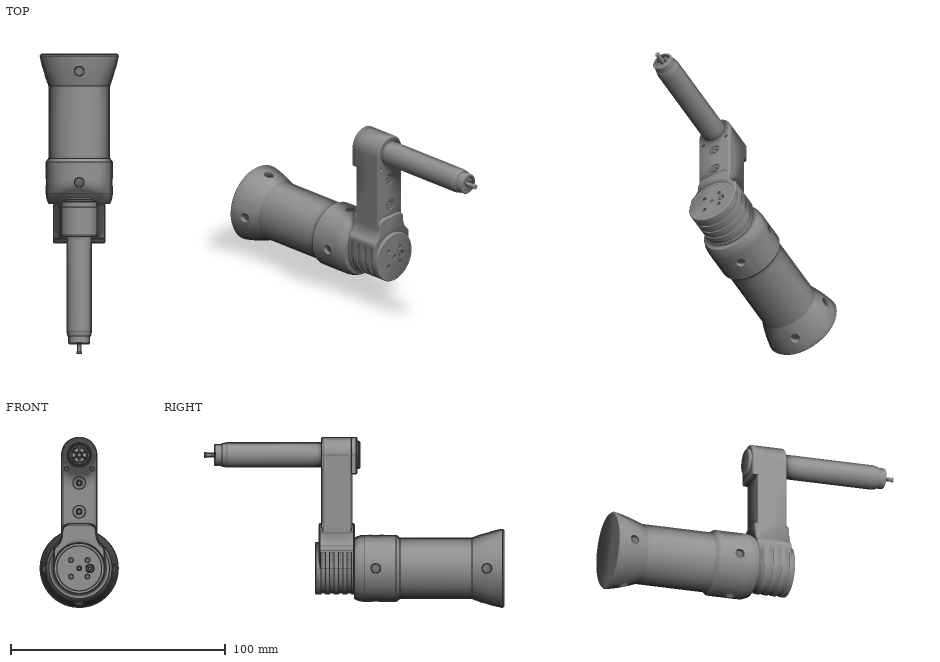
import cadquery as cq


overall_height = 79.2

flare_lip_station = 0.8
flare_end_station = 14.9
collar_station = 48.5
collar_chamfer = 1.7
collar_nose_station = 64.8
handle_end = 69.5
flare_radius = 36.4 / 2
flare_rear_radius = 17.5
flare_bulge = 0.35
grip_radius = 14.1
collar_radius = 30.8 / 2
collar_nose_radius = 14.1

radial_hole_radius = 2.2
radial_hole_depth = 2.2
flare_hole_station = 8.0
collar_hole_station = 59.7

housing_end = 86.1
housing_half_width = 12.0
housing_shoulder_z = 8.4
housing_top_z = 20.8
housing_corner_radius = 3.6
housing_edge_chamfer = 0.5
neck_bottom_z = 16.5
neck_flare_z = 10.3

groove_count = 4
groove_width = 2.1
groove_pitch = 4.0
groove_depth = 0.49
groove_flat_z = 3.9
groove_top_z = 7.4
first_groove_station = 71.0

cover_end = 87.8
cover_overlap = 1.4
cover_rim_chamfer = 0.35
cover_rim_width = 1.5
cover_recess_depth = 0.1
cover_hole_offset = 7.7 / 2
cover_hole_radius = 1.1
cover_hole_depth = 1.4
socket_x = 5.0
socket_radius = 2.0
socket_recess_depth = 0.4
socket_bore_radius = 1.5
cover_pin_radius = 0.7

arm_start = 70.7
arm_end = 84.9
arm_half_width = 8.2
arm_edge_fillet = 0.8
pen_z = overall_height - flare_radius - arm_half_width
cap_start = 68.3
cap_end = 71.1
cap_bottom_z = 43.9
cap_edge_chamfer = 0.5
button_start = 67.0
button_radius = 6.4
button_chamfer = 0.5

screw_heights = (26.3, 39.7)
screw_recess_radius = 2.9
screw_recess_depth = 0.5
screw_socket_radius = 1.4
screw_socket_depth = 1.7
screw_pin_radius = 0.8
pin_hole_x = 6.0
pin_hole_z = 46.3
pin_hole_radius = 1.0
pin_hole_depth = 1.4

tube_radius = 5.7
tube_end = 129.0
nozzle_step_station = 131.2
nozzle_end = 134.8
nozzle_taper_radius = 5.3
nozzle_radius = 4.9
nozzle_edge_chamfer = 0.4
nozzle_bore_radius = 3.8
nozzle_bore_depth = 2.2
rim_notch_count = 4
rim_notch_width = 2.2
rim_notch_depth = 0.5
collet_radius = 3.3
collet_height = 1.4
collet_bore_radius = 1.5
jaw_count = 6
jaw_slot_width = 0.5
tip_shank_radius = 0.9
tip_head_radius = 1.1
tip_head_length = 0.7
tip_end = 139.4


def cylinder(start, end, radius, x=0, z=0):
    """Cylinder parallel to Y between two stations."""
    return cq.Workplane("XZ", origin=(x, -start, z)).circle(radius).extrude(end - start)


def make_handle():
    """Revolve the handle's half profile and drill its blind radial holes."""
    flare_mid_station = (flare_lip_station + flare_end_station) / 2
    flare_mid_radius = (flare_radius + grip_radius) / 2 + flare_bulge
    body = (
        cq.Workplane("XY")
        .moveTo(0, 0)
        .lineTo(flare_rear_radius, 0)
        .lineTo(flare_radius, -flare_lip_station)
        .threePointArc((flare_mid_radius, -flare_mid_station), (grip_radius, -flare_end_station))
        .lineTo(grip_radius, -collar_station)
        .lineTo(collar_radius, -collar_station - collar_chamfer)
        .lineTo(collar_radius, -collar_nose_station)
        .tangentArcPoint((collar_nose_radius, -handle_end), relative=False)
        .lineTo(0, -handle_end)
        .close()
        .revolve(360, (0, 0, 0), (0, 1, 0))
    )
    hole_surfaces = ((flare_hole_station, flare_mid_radius), (collar_hole_station, collar_radius))
    for station, surface_radius in hole_surfaces:
        hole = (
            cq.Workplane("XY", origin=(0, -station, surface_radius - radial_hole_depth))
            .circle(radial_hole_radius)
            .extrude(flare_radius)
        )
        for quarter in range(4):
            body = body.cut(hole.rotate((0, 0, 0), (0, 1, 0), 90 * quarter))
    return body


def make_housing():
    """Round-bottomed block that necks in to the arm's width, with its top corners rounded."""
    shoulder_share = (neck_flare_z - housing_shoulder_z) / (neck_bottom_z - housing_shoulder_z)
    neck_flare_x = housing_half_width - shoulder_share * (housing_half_width - arm_half_width)
    outline = (
        cq.Workplane("XZ", origin=(0, -handle_end, 0))
        .moveTo(0, -housing_half_width)
        .radiusArc((housing_half_width, 0), -housing_half_width)
        .lineTo(housing_half_width, housing_shoulder_z)
        .tangentArcPoint((neck_flare_x, neck_flare_z), relative=False)
        .tangentArcPoint((arm_half_width, neck_bottom_z), relative=False)
        .lineTo(arm_half_width, housing_top_z - housing_corner_radius)
        .tangentArcPoint((-housing_corner_radius, housing_corner_radius))
        .lineTo(0, housing_top_z)
        .mirrorY()
    )
    block = outline.extrude(housing_end - handle_end)
    return block.faces("<Y or >Y").chamfer(housing_edge_chamfer)


def cut_grip_grooves(body):
    """Cut the U-shaped grooves, whose side floors curve out to the surface at the top."""
    floor_x = housing_half_width - groove_depth
    blank_size = 4 * housing_half_width
    for index in range(groove_count):
        station = first_groove_station + index * groove_pitch
        plane = cq.Workplane("XZ", origin=(0, -station, 0))
        core = (
            plane.moveTo(0, -floor_x)
            .radiusArc((floor_x, 0), -floor_x)
            .lineTo(floor_x, groove_flat_z)
            .tangentArcPoint((housing_half_width, groove_top_z), relative=False)
            .lineTo(0, groove_top_z)
            .mirrorY()
            .extrude(groove_width)
        )
        blank = (
            plane.center(0, groove_top_z - blank_size / 2)
            .rect(blank_size, blank_size)
            .extrude(groove_width)
        )
        body = body.cut(blank.cut(core))
    return body


def make_cover():
    """Round front cover with a raised rim."""
    cover = cylinder(housing_end - cover_overlap, cover_end, housing_half_width)
    cover = cover.faces("<Y").chamfer(cover_rim_chamfer)
    face = cover_end - cover_recess_depth
    return cover.cut(cylinder(face, cover_end, housing_half_width - cover_rim_width))


def cut_stepped_hole(body, face, x, z, recess, bore, pin_radius):
    """Cut a (radius, depth) recess and a deeper bore in a front face, leaving a pin in the bore."""
    recess_radius, recess_depth = recess
    bore_radius, bore_depth = bore
    recess_floor = face - recess_depth
    bore_floor = recess_floor - bore_depth
    body = body.cut(cylinder(recess_floor, face, recess_radius, x, z))
    body = body.cut(cylinder(bore_floor, recess_floor, bore_radius, x, z))
    return body.union(cylinder(bore_floor, recess_floor, pin_radius, x, z))


def cut_cover_holes(body):
    """Four plain holes, a central screw hole and the offset cable socket."""
    face = cover_end - cover_recess_depth
    floor = face - cover_hole_depth
    offsets = (-cover_hole_offset, cover_hole_offset)
    for x in offsets:
        for z in offsets:
            body = body.cut(cylinder(floor, face, cover_hole_radius, x, z))
    body = body.cut(cylinder(floor, face, cover_hole_radius))
    body = body.union(cylinder(floor, face - socket_recess_depth, cover_pin_radius))
    recess = (socket_radius, socket_recess_depth)
    bore = (socket_bore_radius, cover_hole_depth)
    return cut_stepped_hole(body, face, socket_x, 0, recess, bore, cover_pin_radius)


def make_slab(start, end, bottom_z):
    """Arm-wide slab from a flat bottom up to a round top about the pen axis."""
    return (
        cq.Workplane("XZ", origin=(0, -start, 0))
        .moveTo(-arm_half_width, bottom_z)
        .lineTo(arm_half_width, bottom_z)
        .lineTo(arm_half_width, pen_z)
        .threePointArc((0, pen_z + arm_half_width), (-arm_half_width, pen_z))
        .close()
        .extrude(end - start)
    )


def make_arm():
    """Arm with rounded edges, plus the cap and round button behind the pen."""
    arm = make_slab(arm_start, arm_end, 0).faces("<Y or >Y").edges("not <Z").fillet(arm_edge_fillet)
    cap = make_slab(cap_start, cap_end, cap_bottom_z).faces(">Y").chamfer(cap_edge_chamfer)
    button = cylinder(button_start, cap_start, button_radius, 0, pen_z)
    button = button.faces(">Y").chamfer(button_chamfer)
    return arm.union(cap).union(button)


def cut_arm_details(body):
    """Two recessed screws and two pin holes in the arm's front face."""
    recess = (screw_recess_radius, screw_recess_depth)
    socket = (screw_socket_radius, screw_socket_depth)
    for z in screw_heights:
        body = cut_stepped_hole(body, arm_end, 0, z, recess, socket, screw_pin_radius)
    for x in (-pin_hole_x, pin_hole_x):
        body = body.cut(cylinder(arm_end - pin_hole_depth, arm_end, pin_hole_radius, x, pin_hole_z))
    return body


def cut_radial_slots(body, count, width, reach, start, end):
    """Cut evenly spaced slots outward from the pen axis, the first one pointing up."""
    for index in range(count):
        slot = (
            cq.Workplane("XZ", origin=(0, -start, pen_z))
            .center(0, reach / 2)
            .rect(width, reach)
            .extrude(end - start)
            .rotate((0, 0, pen_z), (0, 1, pen_z), 360 * index / count)
        )
        body = body.cut(slot)
    return body


def make_pen():
    """Tube with a tapered, hollow nozzle that holds a slotted collet and a headed tip."""
    pen = (
        cq.Workplane("XY", origin=(0, 0, pen_z))
        .moveTo(0, -arm_start)
        .lineTo(tube_radius, -arm_start)
        .lineTo(tube_radius, -tube_end)
        .lineTo(nozzle_taper_radius, -nozzle_step_station)
        .lineTo(nozzle_radius, -nozzle_step_station)
        .lineTo(nozzle_radius, -nozzle_end)
        .lineTo(0, -nozzle_end)
        .close()
        .revolve(360, (0, 0, 0), (0, 1, 0))
        .faces("<Y")
        .chamfer(nozzle_edge_chamfer)
    )
    bore_floor = nozzle_end - nozzle_bore_depth
    collet_end = bore_floor + collet_height
    pen = pen.cut(cylinder(bore_floor, nozzle_end, nozzle_bore_radius, 0, pen_z))
    notch_start = nozzle_end - rim_notch_depth
    notch_reach = nozzle_radius - nozzle_edge_chamfer
    pen = cut_radial_slots(pen, rim_notch_count, rim_notch_width, notch_reach, notch_start, nozzle_end)
    collet = cylinder(bore_floor, collet_end, collet_radius, 0, pen_z)
    collet = collet.cut(cylinder(bore_floor, collet_end, collet_bore_radius, 0, pen_z))
    collet = cut_radial_slots(collet, jaw_count, jaw_slot_width, collet_radius, bore_floor, collet_end)
    pen = pen.union(collet)
    pen = pen.union(cylinder(bore_floor, tip_end, tip_shank_radius, 0, pen_z))
    return pen.union(cylinder(tip_end - tip_head_length, tip_end, tip_head_radius, 0, pen_z))


arm = cut_arm_details(make_arm())
housing = cut_grip_grooves(make_housing().union(arm).union(make_cover()))
housing = cut_cover_holes(housing)
result = make_handle().union(housing).union(make_pen())